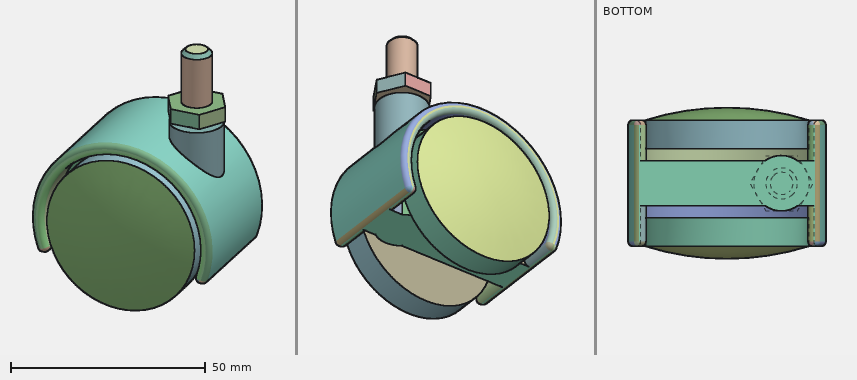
import cadquery as cq
import math


wheel_radius = 21.0
wheel_thickness = 7.35
crown_distance = 39.0
axle_height = wheel_radius

housing_diameter = 51.0
housing_width = 32.55
housing_bottom = 11.4
rim_thickness = 3.2
rim_corner_radius = 1.4
rim_edge_radius = 1.3
web_thickness = 11.55

stem_offset = 14.0
boss_radius = 7.15
boss_top = 49.5
bore_depth = 14.0

stem_diameter = 8.05
stem_top = 70.0
stem_chamfer = 1.1
hex_width = 14.1
hex_height = 4.1
hex_bottom = 50.95

housing_radius = housing_diameter / 2
housing_side = housing_width / 2
rim_inner_radius = housing_radius - rim_thickness
pocket_depth = (housing_width - web_thickness) / 2
dome_height = crown_distance / 2 - housing_side
dome_sphere_radius = (wheel_radius**2 + dome_height**2) / (2 * dome_height)
stem_bottom = boss_top - bore_depth
stem_radius = stem_diameter / 2
hex_corner_diameter = hex_width / math.cos(math.pi / 6)


def disc(radius, y_start, length):
    """Cylinder about the wheel axis, from y_start towards +Y."""
    plane = cq.Workplane("XZ", origin=(0, y_start, axle_height))
    return plane.circle(radius).extrude(-length)


def upright(radius, z_start, z_end):
    """Cylinder about the stem axis."""
    plane = cq.Workplane("XY", origin=(stem_offset, 0, z_start))
    return plane.circle(radius).extrude(z_end - z_start)


def make_housing():
    below = cq.Workplane("XY").box(
        2 * housing_diameter, 2 * housing_width, 2 * housing_bottom
    )
    body = disc(housing_radius, -housing_side, housing_width).cut(below)

    for y_start in (-housing_side, web_thickness / 2):
        body = body.cut(disc(rim_inner_radius, y_start, pocket_depth))

    body = body.edges("|Y").edges("<Z").fillet(rim_corner_radius)
    body = body.faces("<Y or >Y").edges().fillet(rim_edge_radius)

    body = body.union(upright(boss_radius, housing_bottom, boss_top))
    return body.cut(upright(stem_radius, stem_bottom, boss_top))


def make_wheel(side):
    """Wheel with a domed outer face; side is -1 or +1 along Y."""
    inner_y = housing_side - wheel_thickness
    half_section = (
        cq.Workplane("XY")
        .moveTo(0, inner_y)
        .lineTo(wheel_radius, inner_y)
        .lineTo(wheel_radius, housing_side)
        .radiusArc((0, housing_side + dome_height), -dome_sphere_radius)
        .close()
    )
    wheel = half_section.revolve(360, (0, 0, 0), (0, 1, 0))
    if side < 0:
        wheel = wheel.mirror("XZ")
    return wheel.translate((0, 0, axle_height))


def make_stem():
    rod = upright(stem_radius, stem_bottom, stem_top)
    rod = rod.faces(">Z").chamfer(stem_chamfer)
    hexagon = (
        cq.Workplane("XY", origin=(stem_offset, 0, hex_bottom))
        .polygon(6, hex_corner_diameter)
        .extrude(hex_height)
    )
    return rod.union(hexagon)


housing = make_housing()
wheels = [make_wheel(side) for side in (-1, 1)]
stem = make_stem()

result = cq.Compound.makeCompound(
    [housing.val(), *[wheel.val() for wheel in wheels], stem.val()]
)